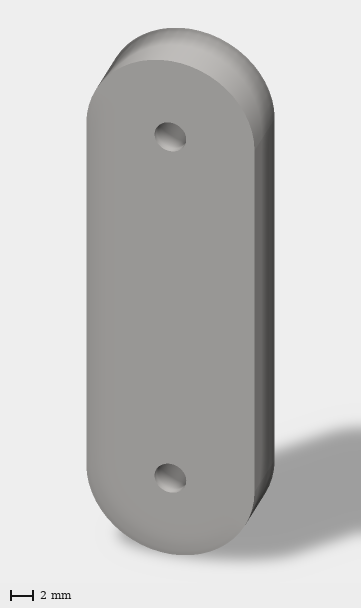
import cadquery as cq

length = 52.0
width = 16.0
thickness = 6.0
hole_diameter = 3.0

hole_spacing = length - width
hole_positions = [(0, -hole_spacing / 2), (0, hole_spacing / 2)]

plate = (
    cq.Workplane("XZ")
    .slot2D(length, width, angle=90)
    .extrude(thickness / 2, both=True)
)

holes = (
    cq.Workplane("XZ")
    .pushPoints(hole_positions)
    .circle(hole_diameter / 2)
    .extrude(thickness, both=True)
)

result = plate.cut(holes)